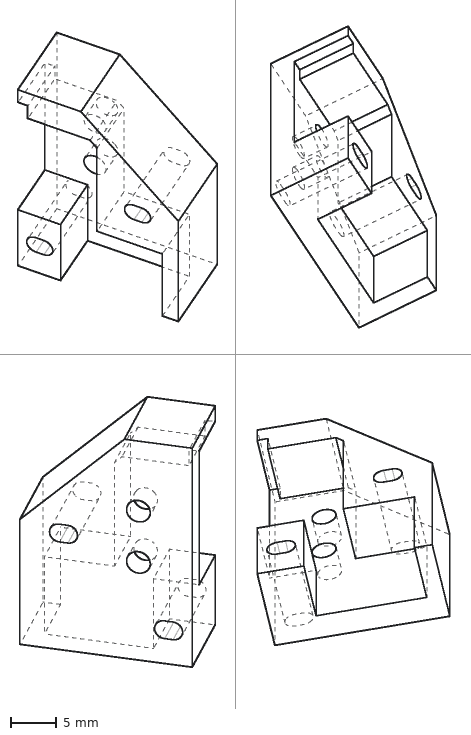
import cadquery as cq

width = 19.7
depth = 9.82
height = 27.8
corner_cut = 11.95

floor_thickness = 3.0
wall = 2.0
lip_inset = 1.2
lip_drop = 2.0
upper_pocket_right = 9.7
pocket_chamfer = 0.85
lower_pocket_top = 9.8

block_width = 5.25
block_height = 8.85

hole_diameter = 2.7
hole_x = 6.15
lower_hole_z = 12.4
hole_spacing = 6.5
hole_count = 2

slot_length = 3.2
slot_width = 2.25
slot_centers = [(2.7, 4.3), (14.7, 14.8)]

pocket_depth = depth - floor_thickness
pocket_top = height - wall
lip_bottom = pocket_top - lip_drop
lower_pocket_right = width - wall


def front_plane():
    """Sketch plane on the -Y face; extruding by a negative length goes into the part."""
    return cq.Workplane("XZ")


def make_body():
    outline = [
        (0, 0),
        (width, 0),
        (width, height - corner_cut),
        (width - corner_cut, height),
        (0, height),
    ]
    return front_plane().polyline(outline).close().extrude(-depth)


def make_pocket():
    outline = [
        (block_width, 0),
        (lower_pocket_right, 0),
        (lower_pocket_right, lower_pocket_top),
        (upper_pocket_right, lower_pocket_top),
        (upper_pocket_right, lip_bottom - pocket_chamfer),
        (upper_pocket_right - pocket_chamfer, lip_bottom),
        (lip_inset, lip_bottom),
        (lip_inset, pocket_top),
        (0, pocket_top),
        (0, block_height),
        (block_width, block_height),
    ]
    return front_plane().polyline(outline).close().extrude(-pocket_depth)


def make_round_holes():
    centers = [(hole_x, lower_hole_z + i * hole_spacing) for i in range(hole_count)]
    return front_plane().pushPoints(centers).circle(hole_diameter / 2).extrude(-depth)


def make_slots():
    return front_plane().pushPoints(slot_centers).slot2D(slot_length, slot_width).extrude(-depth)


result = make_body().cut(make_pocket()).cut(make_round_holes()).cut(make_slots())